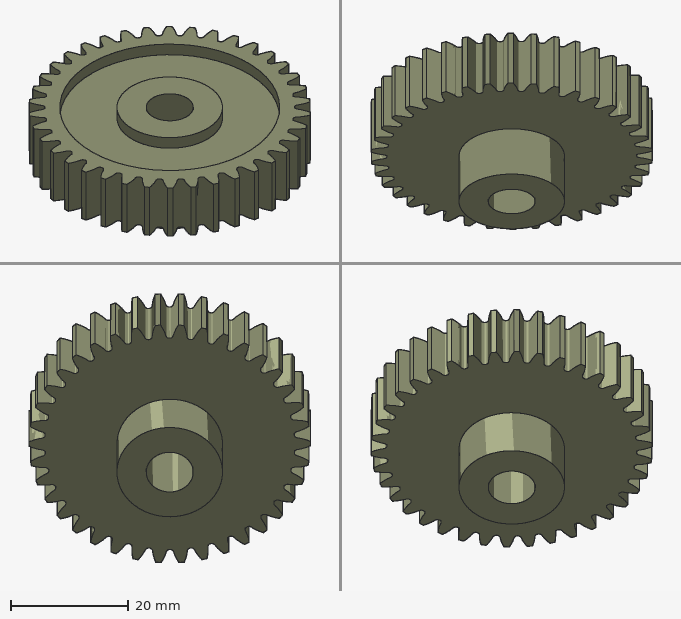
import cadquery as cq
import math

TOOTH_COUNT = 38
MODULE = 1.2
PRESSURE_ANGLE = math.radians(20)
DEDENDUM_FACTOR = 1.25
ROOT_ROUND_HEIGHT = 0.55
FLANK_POINTS = 5

FACE_WIDTH = 10.0
HUB_DIAMETER = 18.0
HUB_LENGTH = 9.0
BORE_DIAMETER = 8.0
RECESS_DIAMETER = 37.5
RECESS_DEPTH = 2.2

pitch_radius = MODULE * TOOTH_COUNT / 2
base_radius = pitch_radius * math.cos(PRESSURE_ANGLE)
tip_radius = pitch_radius + MODULE
root_radius = pitch_radius - DEDENDUM_FACTOR * MODULE
flank_start_radius = root_radius + ROOT_ROUND_HEIGHT
tooth_pitch = 2 * math.pi / TOOTH_COUNT


def polar_point(radius, angle):
    return (radius * math.cos(angle), radius * math.sin(angle))


def involute(angle):
    return math.tan(angle) - angle


def half_tooth_angle(radius):
    """Angle from the tooth centre line to its involute flank at the given radius."""
    local_pressure_angle = math.acos(base_radius / radius)
    return tooth_pitch / 4 + involute(PRESSURE_ANGLE) - involute(local_pressure_angle)


def flank(centre_angle, side):
    """Points along one flank, from the rounded root to the tip; side is -1 or +1."""
    radius_step = (tip_radius - flank_start_radius) / (FLANK_POINTS - 1)
    radii = [flank_start_radius + i * radius_step for i in range(FLANK_POINTS)]
    return [polar_point(r, centre_angle + side * half_tooth_angle(r)) for r in radii]


def toothed_blank():
    """Full-depth gear disc with the first tooth centred on +X."""
    outline = cq.Workplane("XY").moveTo(*flank(0, -1)[0])
    for tooth in range(TOOTH_COUNT):
        centre_angle = tooth * tooth_pitch
        rising = flank(centre_angle, -1)
        falling = flank(centre_angle, 1)[::-1]
        gap_bottom = polar_point(root_radius, centre_angle + tooth_pitch / 2)
        next_tooth_start = flank(centre_angle + tooth_pitch, -1)[0]
        outline = (
            outline.spline(rising[1:], includeCurrent=True)
            .threePointArc(polar_point(tip_radius, centre_angle), falling[0])
            .spline(falling[1:], includeCurrent=True)
            .threePointArc(gap_bottom, next_tooth_start)
        )
    return outline.close().extrude(FACE_WIDTH)


def cylinder(diameter, bottom, top):
    return cq.Workplane("XY").workplane(offset=bottom).circle(diameter / 2).extrude(top - bottom)


recess = cylinder(RECESS_DIAMETER, FACE_WIDTH - RECESS_DEPTH, FACE_WIDTH)
hub = cylinder(HUB_DIAMETER, -HUB_LENGTH, FACE_WIDTH)
bore = cylinder(BORE_DIAMETER, -HUB_LENGTH, FACE_WIDTH)

result = toothed_blank().cut(recess).union(hub).cut(bore)